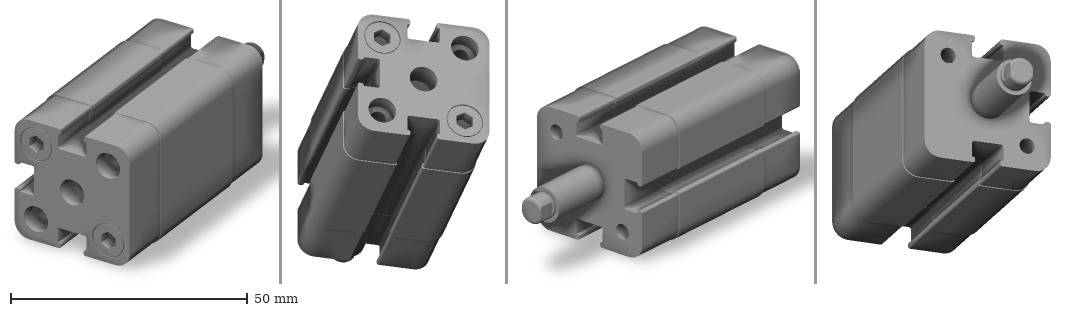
import cadquery as cq
import math

overall_length = 72.5
cap_length = 12.25
tube_length = 28.4
rod_length = 15.1
body_length = 2 * cap_length + tube_length
tip_length = overall_length - body_length - rod_length

tube_width = 29.1
tube_overhang = 0.18
cap_width = tube_width - 2 * tube_overhang
corner_radius = 3.55

slot_floor = 9.5
tube_floor_drop = 0.1
slot_half_width = 3.55
opening_half_width = 2.9
lip_thickness = 1.3
lip_bottom = cap_width / 2 - lip_thickness
lip_round = 0.4
slot_floor_round = 0.5
slot_angles = (0, 90, 180)

hole_offset = 9.0
through_diameter = 3.5
counterbore_diameter = 6.0
counterbore_depth = 3.6
recess_diameter = 8.0
head_diameter = 7.5
recess_depth = 0.35
head_sink = 0.1
hex_sides = 6
hex_across_corners = 4.1
hex_depth = 2.9

center_hole_diameter = 6.0
center_hole_depth = 5.8

rod_diameter = 8.0
tip_diameter = 6.0
tip_round = 0.7
flat_width = 5.1
flat_length = 3.6
flat_runout = (tip_diameter - flat_width) / 2


def plane_at(y):
    """XZ sketch plane at the given Y, with local x = -X, local y = Z and normal = +Y."""
    return cq.Workplane(cq.Plane(origin=(0, y, 0), xDir=(-1, 0, 0), normal=(0, 1, 0)))


def cylinder(diameter, y, length, x=0, z=0):
    return plane_at(y).center(-x, z).circle(diameter / 2).extrude(length)


def slot_cutter(width, overhang, floor, y, length):
    """Lipped slot in the top side; the overhang narrows it on both sides."""
    face = width / 2
    opening = opening_half_width - overhang
    inside = slot_half_width - overhang
    pocket = (
        plane_at(y)
        .center(0, (floor + lip_bottom) / 2)
        .rect(2 * inside, lip_bottom - floor)
        .extrude(length)
        .edges("|Y and <Z")
        .fillet(slot_floor_round)
    )
    lip_top = face - lip_round
    low_round = lip_bottom + lip_round
    diagonal = lip_round * (1 - math.sqrt(0.5))
    mouth = (
        plane_at(y)
        .moveTo(-opening - lip_round, lip_bottom)
        .threePointArc((-opening - diagonal, lip_bottom + diagonal), (-opening, low_round))
        .lineTo(-opening, lip_top)
        .threePointArc((-opening - diagonal, face - diagonal), (-opening - lip_round, face))
        .lineTo(opening + lip_round, face)
        .threePointArc((opening + diagonal, face - diagonal), (opening, lip_top))
        .lineTo(opening, low_round)
        .threePointArc((opening + diagonal, lip_bottom + diagonal), (opening + lip_round, lip_bottom))
        .close()
        .extrude(length)
    )
    return pocket.union(mouth)


def body_section(width, overhang, floor, y, length):
    """Length of slotted square profile starting at the given Y."""
    section = plane_at(y).rect(width, width).extrude(length).edges("|Y").fillet(corner_radius)
    cutter = slot_cutter(width, overhang, floor, y, length)
    for angle in slot_angles:
        section = section.cut(cutter.rotate((0, 0, 0), (0, 1, 0), -angle))
    return section


def fixing_hole(x, z):
    """Through hole with a counterbore in the rear face."""
    counterbore = cylinder(counterbore_diameter, 0, counterbore_depth, x, z)
    return counterbore.union(cylinder(through_diameter, 0, body_length, x, z))


def screw_recess(x, z):
    """Gap around a slightly sunken screw head, together with its hexagon socket."""
    gap = cylinder(recess_diameter, 0, recess_depth, x, z).cut(
        cylinder(head_diameter, head_sink, recess_depth - head_sink, x, z)
    )
    socket = plane_at(0).polygon(hex_sides, hex_across_corners).extrude(hex_depth)
    socket = socket.rotate((0, 0, 0), (0, 1, 0), 90).translate((x, 0, z))
    return gap.union(socket)


def piston_rod():
    """Round rod with a stepped, rounded tip and two wrench flats facing -X and +X."""
    rod = cylinder(rod_diameter, body_length, rod_length)
    tip = (
        cylinder(tip_diameter, body_length + rod_length, tip_length)
        .faces(">Y")
        .fillet(tip_round)
    )
    flat = flat_width / 2
    outside = tip_diameter / 2
    flat_start = overall_length - flat_length
    flat_cutter = (
        cq.Workplane("XY")
        .polyline([
            (flat, overall_length),
            (flat, flat_start),
            (outside, flat_start - flat_runout),
            (outside, overall_length),
        ])
        .close()
        .extrude(tip_diameter / 2, both=True)
    )
    tip = tip.cut(flat_cutter).cut(flat_cutter.mirror("YZ"))
    return rod.union(tip)


rear_cap = body_section(cap_width, 0, slot_floor, 0, cap_length)
tube = body_section(tube_width, tube_overhang, slot_floor - tube_floor_drop, cap_length, tube_length)
front_cap = body_section(cap_width, 0, slot_floor, cap_length + tube_length, cap_length)
body = rear_cap.union(tube).union(front_cap)

body = body.cut(cylinder(center_hole_diameter, 0, center_hole_depth))
for side in (-1, 1):
    body = body.cut(fixing_hole(side * hole_offset, side * hole_offset))
    body = body.cut(screw_recess(side * hole_offset, -side * hole_offset))

result = body.union(piston_rod())